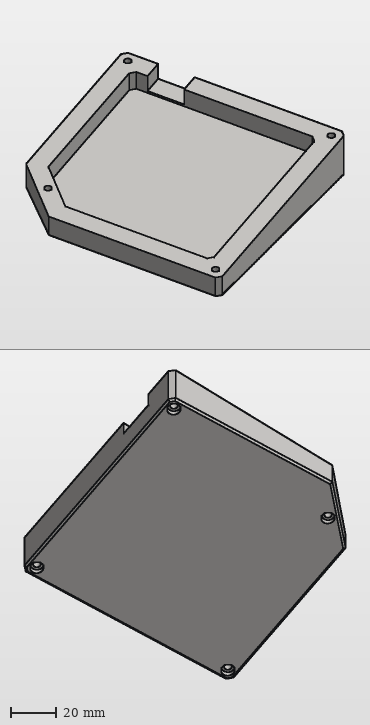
import cadquery as cq
import math

length_x = 113.2
length_y = 114.2
height = 23.6
slope_angle = 6.0
slope = math.tan(math.radians(slope_angle))

corner_chamfer = 2.3
clipped_corner = 26.3
bottom_chamfer = 1.0

wall = 9.6
pocket_depth = 9.8
pocket_clip = 19.8

notch_start = 17.6
notch_width = 18.5
notch_depth = 8.7

hole_diameter = 3.4
counterbore_diameter = 6.0
counterbore_depth = 3.0
hole_inset = 4.9
clip_hole_inset = clipped_corner / 2 + hole_inset / math.sqrt(2)


def underside_z(y):
    """Height of the sloping underside, lowest just inside its +Y edge chamfer."""
    return -height + (length_y - bottom_chamfer - y) * slope


def clipped_plate(inset, clip, depth):
    """Rectangular plate below Z = 0 with a large clip at (-X, -Y) and small chamfers elsewhere."""
    left = inset
    right = length_x - inset
    front = inset
    back = length_y - inset
    return (
        cq.Workplane("XY")
        .moveTo(left + clip, front)
        .lineTo(right - corner_chamfer, front)
        .lineTo(right, front + corner_chamfer)
        .lineTo(right, back - corner_chamfer)
        .lineTo(right - corner_chamfer, back)
        .lineTo(left + corner_chamfer, back)
        .lineTo(left, back - corner_chamfer)
        .lineTo(left, front + clip)
        .close()
        .extrude(-depth)
    )


def make_wedge():
    """Outer body with its sloping underside and chamfered bottom edges."""
    side_profile = (
        cq.Workplane("YZ")
        .moveTo(0, 0)
        .lineTo(length_y, 0)
        .lineTo(length_y, underside_z(length_y))
        .lineTo(0, underside_z(0))
        .close()
        .extrude(length_x)
    )
    plate = clipped_plate(0, clipped_corner, 2 * height)
    return plate.intersect(side_profile).faces("<Z").chamfer(bottom_chamfer)


def make_notch():
    return (
        cq.Workplane("XY")
        .box(notch_width, wall, notch_depth, centered=False)
        .translate((notch_start, length_y - wall, -notch_depth))
    )


def make_screw_hole(x, y):
    """Vertical through hole with a counterbore opening on the underside."""
    hole = cq.Workplane("XY").center(x, y).circle(hole_diameter / 2).extrude(-2 * height)
    counterbore = (
        cq.Workplane("XY", origin=(0, 0, underside_z(y) + counterbore_depth))
        .center(x, y)
        .circle(counterbore_diameter / 2)
        .extrude(-height)
    )
    return hole.union(counterbore)


hole_positions = [
    (hole_inset, length_y - hole_inset),
    (length_x - hole_inset, length_y - hole_inset),
    (length_x - hole_inset, hole_inset),
    (clip_hole_inset, clip_hole_inset),
]

result = make_wedge()
result = result.cut(clipped_plate(wall, pocket_clip, pocket_depth))
result = result.cut(make_notch())
for hole_x, hole_y in hole_positions:
    result = result.cut(make_screw_hole(hole_x, hole_y))